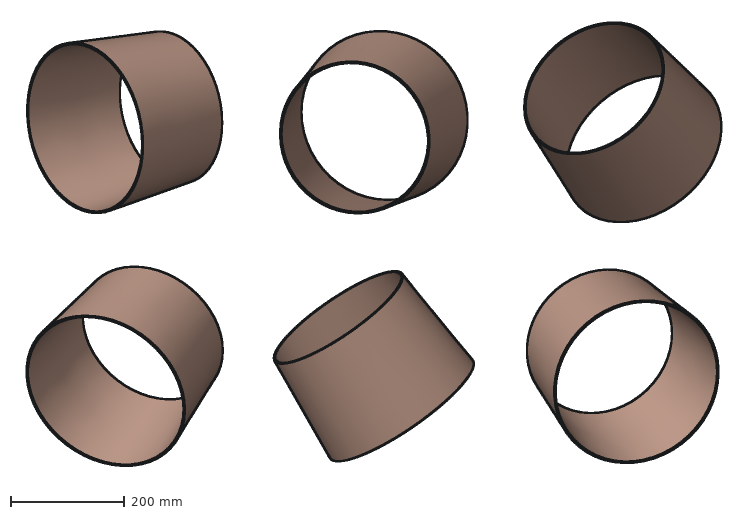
import cadquery as cq

large_diameter = 306.0
small_diameter = 273.0
length = 203.0
wall = 3.0

large_radius = large_diameter / 2
small_radius = small_diameter / 2
front_y = -length / 2
back_y = length / 2

wall_section = [
    (large_radius - wall, front_y),
    (large_radius, front_y),
    (small_radius, back_y),
    (small_radius - wall, back_y),
]

result = cq.Workplane("XY").polyline(wall_section).close().revolve(360, (0, 0, 0), (0, 1, 0))